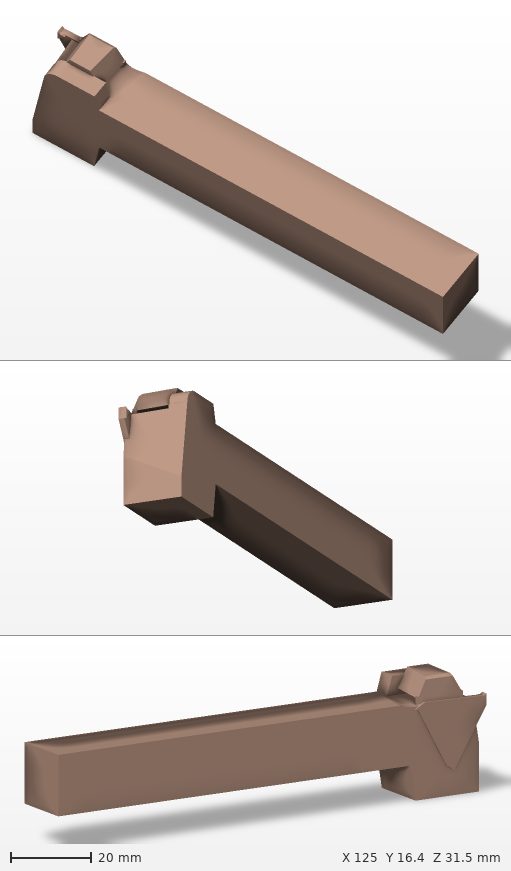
import cadquery as cq
import math

length = 125.0
holder_depth = 16.0
shank_bottom = 9.1
shank_top = 24.9
neck_x = 22.0
head_left = 2.0
head_base_right = 20.5
head_top_right = 20.6
head_height = 29.8

flank_front_z = 5.2
flank_back_z = 12.9
shoulder_start = (5.4, 25.6)
shoulder_middle = (6.6, 28.5)
shoulder_end = (10.2, head_height)

wall_depth = 4.9
lean = 3.0
floor_z = 24.6
ramp_start_x = 20.8
ramp_radius = 11.2
clearance = 12.5
jaw_bottom_z = 26.4
jaw_top_z = 31.5
jaw_bottom_left = 7.1
jaw_bottom_right = 18.9
jaw_top_left = 10.0
jaw_top_right = 16.1
jaw_spread = 0.8
jaw_back = 15.8
jaw_bevel_back = 15.1
jaw_bevel_front = 14.2
jaw_bevel_z = 30.4
lip_front = 14.5
lip_bottom_z = 24.5

insert_back = 16.4
insert_thickness = 1.6
insert_top = 25.0
insert_center = (9.9, 18.2)
tip_land_height = 3.0
tip_pad_length = 2.1
tip_pad_drop = 0.6
relief_length = 0.6
relief_drop = 0.5
tip_pad_thickness = 0.5
corner_count = 3


def front_plane(y):
    """XZ plane at depth y, facing backward when extruded by a negative distance."""
    return cq.Workplane("XZ", origin=(0, y, 0))


def turned(point, corner):
    """Turn an XZ point about the insert centre to another corner."""
    angle = 2 * math.pi * corner / corner_count
    dx = point[0] - insert_center[0]
    dz = point[1] - insert_center[1]
    return (
        insert_center[0] + dx * math.cos(angle) - dz * math.sin(angle),
        insert_center[1] + dx * math.sin(angle) + dz * math.cos(angle),
    )


def lean_back(body, pivot_z):
    """Tilt a body downward toward the back about the rear edge of the front wall."""
    return body.rotate((0, wall_depth, pivot_z), (1, wall_depth, pivot_z), -lean)


def make_blank():
    """Shank and T-shaped head in one outline."""
    return (
        front_plane(0)
        .moveTo(head_left, 0)
        .lineTo(head_base_right, 0)
        .lineTo(neck_x, shank_bottom)
        .lineTo(length, shank_bottom)
        .lineTo(length, shank_top)
        .lineTo(neck_x, shank_top)
        .lineTo(head_top_right, head_height)
        .lineTo(*shoulder_end)
        .threePointArc(shoulder_middle, shoulder_start)
        .lineTo(head_left, shoulder_start[1])
        .close()
        .extrude(-holder_depth)
    )


def make_flank_relief():
    """Wedge that leaves a flat flank starting higher at the back than at the front."""
    flank_slope = (shoulder_start[0] - head_left) / (shoulder_start[1] - flank_front_z)

    def flank_section(y, start_z):
        top_z = head_height
        top_x = head_left + flank_slope * (top_z - start_z)
        return [cq.Vector(head_left, y, start_z), cq.Vector(top_x, y, top_z), cq.Vector(head_left, y, top_z)]

    front = cq.Wire.makePolygon(flank_section(0, flank_front_z), close=True)
    back = cq.Wire.makePolygon(flank_section(holder_depth, flank_back_z), close=True)
    return cq.Workplane(cq.Solid.makeLoft([front, back], True))


def make_recess():
    """Leaning space behind the front wall, with a curved run-out into the shank."""
    ramp_end = (ramp_start_x + ramp_radius, floor_z + ramp_radius)
    ramp_middle = (
        ramp_start_x + ramp_radius * math.sin(math.pi / 4),
        floor_z + ramp_radius * (1 - math.cos(math.pi / 4)),
    )
    recess = (
        front_plane(wall_depth)
        .moveTo(-clearance, floor_z)
        .lineTo(ramp_start_x, floor_z)
        .threePointArc(ramp_middle, ramp_end)
        .lineTo(-clearance, ramp_end[1])
        .close()
        .extrude(-clearance)
    )
    return lean_back(recess, floor_z)


def make_jaw():
    """Jaw widening backward, cantilevered from the front wall, with a lip resting on the insert."""
    def jaw_section(y, spread):
        corners = [
            (jaw_bottom_left - spread, jaw_bottom_z),
            (jaw_bottom_right + spread, jaw_bottom_z),
            (jaw_top_right + spread, jaw_top_z),
            (jaw_top_left - spread, jaw_top_z),
        ]
        return cq.Wire.makePolygon([cq.Vector(x, y, z) for x, z in corners], close=True)

    front = jaw_section(wall_depth, 0)
    back = jaw_section(wall_depth + clearance, jaw_spread)
    jaw = cq.Workplane(cq.Solid.makeLoft([front, back], True))
    jaw = lean_back(jaw, jaw_top_z)
    lip_left = jaw_bottom_left - jaw_spread
    lip_right = jaw_bottom_right + jaw_spread
    lip = (
        front_plane(lip_front)
        .moveTo(lip_left, lip_bottom_z)
        .lineTo(lip_right, lip_bottom_z)
        .lineTo(lip_right, jaw_bottom_z)
        .lineTo(lip_left, jaw_bottom_z)
        .close()
        .extrude(lip_front - jaw_back)
    )
    bevel_top_z = jaw_top_z - (jaw_bevel_front - wall_depth) * math.tan(math.radians(lean))
    side_outline = (
        cq.Workplane("YZ")
        .polyline([
            (wall_depth, lip_bottom_z),
            (jaw_back, lip_bottom_z),
            (jaw_bevel_back, jaw_bevel_z),
            (jaw_bevel_front, bevel_top_z),
            (wall_depth, jaw_top_z),
        ])
        .close()
        .extrude(ramp_start_x)
    )
    return jaw.union(lip).intersect(side_outline)


def make_insert():
    """Three-cornered plate with a flat land, a top relief and a raised pad at each tip."""
    land_top = (0, insert_top)
    land_bottom = (0, insert_top - tip_land_height)
    pad_inner = (tip_pad_length, insert_top - tip_pad_drop)
    relief_end = (relief_length, insert_top - relief_drop)
    outline = []
    for corner in range(corner_count):
        outline += [turned(point, corner) for point in (relief_end, land_top, land_bottom)]
    plate_front = insert_back - insert_thickness
    plate = front_plane(plate_front).polyline(outline).close().extrude(-insert_thickness)
    for corner in range(corner_count):
        pad_outline = [turned(point, corner) for point in (land_top, land_bottom, pad_inner, relief_end)]
        pad = front_plane(plate_front).polyline(pad_outline).close().extrude(tip_pad_thickness)
        plate = plate.union(pad)
    return plate


insert = make_insert()
holder = make_blank().cut(make_flank_relief()).cut(make_recess()).union(make_jaw()).cut(insert)

result = cq.Compound.makeCompound([*holder.vals(), *insert.vals()])